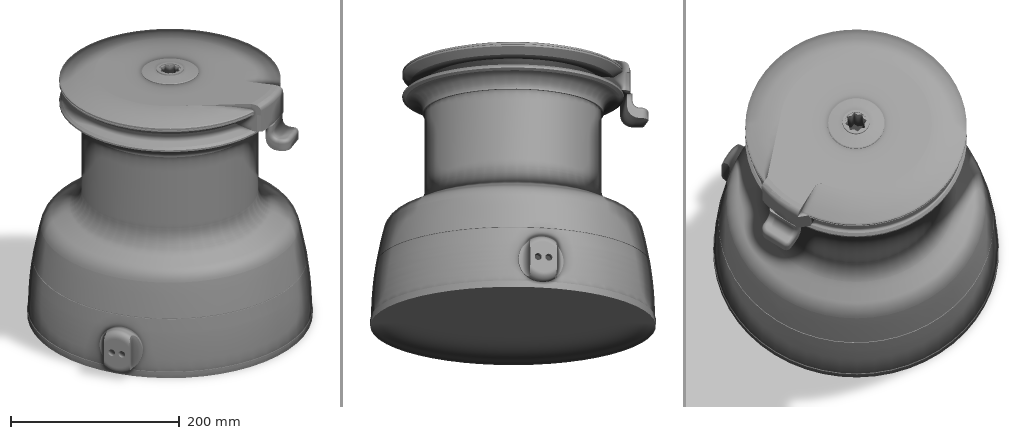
import cadquery as cq
import math

BASE_R = 339 / 2
RIM_H = 8
SKIRT_BOTTOM_R = 168.5
SKIRT_ARC_R = 420
SEAM_Z = 75.4
SEAM_W = 1.0
SEAM_DEPTH = 1.0
SKIRT_TOP_Z = 118.8
SHOULDER_MID = (148.7, 127.8)
SHOULDER_R, SHOULDER_Z = 139.5, 134.3
THROAT_R, THROAT_Z = 118.5, 144.6
THROAT_MID = (109.5, 152.3)
THROAT_TOP_Z = 166.6

DRUM_R = 210 / 2
LIP_R = 215 / 2
LIP_Z = 262.0
LIP_H = 2.0
FLANGE_R = 263 / 2
FLARE_MID = (112.6, 275.0)
FLARE_R, FLARE_Z = 127.0, 279.3
FLANGE_EDGE_Z = (281.3, 283.5)
FLANGE_SLOPE_R, FLANGE_SLOPE_Z = 128.5, 286.0
NECK_R = 104.0
NECK_Z = 293.0

DISC_BOTTOM_R = 243 / 2
DISC_BOTTOM_Z = 300.2
DISC_EDGE_Z = (307.8, 312.2)
DOME_EDGE_R, DOME_EDGE_Z = 130.0, 313.0
DISC_SEAM_Z = 309.8
DOME_MID = (115.0, 317.6)
PLATEAU_R = 90.0
PLATEAU_Z = 321.3

CAP_R = 34.0
CAP_EDGE_Z = 322.2
CAP_BEVEL_R, CAP_BEVEL_Z = 33.0, 322.7
CAP_RING_R = 32.2 / 2
CAP_RING_Z = 324.4
TOTAL_H = 326
CAP_TOP_R = 31.72 / 2
SOCKET_D = 26
SOCKET_SQUARE = 18.5
SOCKET_DEPTH = 30
SOCKET_MOUTH_DEPTH = 1.0

ARM_R = 139.2
ARM_FRONT_Y = -45.5
ARM_TIP_Y = 12.0
ARM_ROOT_Y = 7.5
ARM_BOTTOM_Z = 285.5
ARM_FRONT_X = 119.0
GAP_CORNER_X = 127.0
GAP_CHAMFER_X, GAP_CHAMFER_Y = 131.5, -43.0
ARM_ROOT_FILLET = 9.0
ARM_BROW_R = 127.0
ARM_BROW_TOP = (133.0, 320.6)
ARM_BROW_Z = 314.0
NOSE_R, NOSE_Y = 128.0, 23.0

FOOT_Y = (-30.0, 12.0)
FOOT_ROOT_Z = 286.5
FOOT_INNER_X = 132.0
FOOT_OUTER_X = 139.5
FOOT_INSIDE_R = 8.0
FOOT_TIP_X = 159.8
FOOT_TOP_Z = 270.5
FOOT_BOTTOM_Z = 256.6
FOOT_FRONT_CORNER_R = 11.0
FOOT_BACK_CORNER_R = 6.0
FOOT_EDGE_R = 4.5

TOTAL_DEPTH = 352.78
BUTTON_R = 54.2 / 2
BUTTON_Z = 34.0
BUTTON_FRONT_Y = BASE_R - TOTAL_DEPTH
BUTTON_ROUND = 8.0
BUTTON_BACK_Y = -155.0
GRIP_LIP_X = 32.2 / 2
GRIP_LIP_T = 2.8
GRIP_X = 15.3
GRIP_FLARE_R = 7.3
GRIP_LEDGE_Y = -168.3
PIN_D = 8.4
PIN_X = 6.45
PIN_DEPTH = 8.0


def skirt_radius(z):
    """Skirt radius at height z: one large arc, vertical where it meets the rim."""
    return SKIRT_BOTTOM_R - SKIRT_ARC_R + math.sqrt(SKIRT_ARC_R**2 - (z - RIM_H) ** 2)


def ring_groove(radius, z):
    """Thin ring that cuts a seam groove into a round side."""
    ring = cq.Workplane("XY").workplane(offset=z - SEAM_W / 2).circle(radius + SEAM_DEPTH)
    return ring.circle(radius - SEAM_DEPTH).extrude(SEAM_W)


def turned_body():
    skirt_mid_z = (RIM_H + SKIRT_TOP_Z) / 2
    profile = (
        cq.Workplane("XZ")
        .lineTo(BASE_R, 0)
        .lineTo(BASE_R, RIM_H)
        .lineTo(SKIRT_BOTTOM_R, RIM_H)
        .threePointArc((skirt_radius(skirt_mid_z), skirt_mid_z), (skirt_radius(SKIRT_TOP_Z), SKIRT_TOP_Z))
        .threePointArc(SHOULDER_MID, (SHOULDER_R, SHOULDER_Z))
        .lineTo(THROAT_R, THROAT_Z)
        .threePointArc(THROAT_MID, (DRUM_R, THROAT_TOP_Z))
        .lineTo(DRUM_R, LIP_Z)
        .lineTo(LIP_R, LIP_Z)
        .lineTo(LIP_R, LIP_Z + LIP_H)
        .threePointArc(FLARE_MID, (FLARE_R, FLARE_Z))
        .lineTo(FLANGE_R, FLANGE_EDGE_Z[0])
        .lineTo(FLANGE_R, FLANGE_EDGE_Z[1])
        .lineTo(FLANGE_SLOPE_R, FLANGE_SLOPE_Z)
        .lineTo(NECK_R, NECK_Z)
        .lineTo(NECK_R, DISC_BOTTOM_Z)
        .lineTo(DISC_BOTTOM_R, DISC_BOTTOM_Z)
        .lineTo(FLANGE_R, DISC_EDGE_Z[0])
        .lineTo(FLANGE_R, DISC_EDGE_Z[1])
        .lineTo(DOME_EDGE_R, DOME_EDGE_Z)
        .threePointArc(DOME_MID, (PLATEAU_R, PLATEAU_Z))
        .lineTo(CAP_R, PLATEAU_Z)
        .lineTo(CAP_R, CAP_EDGE_Z)
        .lineTo(CAP_BEVEL_R, CAP_BEVEL_Z)
        .lineTo(CAP_RING_R, CAP_RING_Z)
        .lineTo(CAP_TOP_R, TOTAL_H)
        .lineTo(0, TOTAL_H)
        .close()
    )
    body = profile.revolve(360, (0, 0), (0, 1))
    body = body.cut(ring_groove(skirt_radius(SEAM_Z), SEAM_Z))
    return body.cut(ring_groove(FLANGE_R, DISC_SEAM_Z))


def handle_socket():
    """Eight-pointed star, two squares turned 45 degrees, below a shallow round mouth."""
    floor = cq.Workplane("XY").workplane(offset=TOTAL_H - SOCKET_DEPTH)
    square = floor.rect(SOCKET_SQUARE, SOCKET_SQUARE).extrude(SOCKET_DEPTH)
    star = square.union(square.rotate((0, 0, 0), (0, 0, 1), 45))
    mouth = cq.Workplane("XY").workplane(offset=TOTAL_H).circle(SOCKET_D / 2).extrude(-SOCKET_MOUTH_DEPTH)
    return star.intersect(floor.circle(SOCKET_D / 2).extrude(SOCKET_DEPTH)).union(mouth)


def arm_limit():
    """Round envelope of the arm: flat top, rolled brow and upright outer wall."""
    return (
        cq.Workplane("XZ")
        .moveTo(0, PLATEAU_Z)
        .lineTo(ARM_BROW_R, PLATEAU_Z)
        .lineTo(*ARM_BROW_TOP)
        .tangentArcPoint((ARM_R, ARM_BROW_Z), relative=False)
        .lineTo(ARM_R, ARM_BOTTOM_Z)
        .lineTo(0, ARM_BOTTOM_Z)
        .close()
        .revolve(360, (0, 0), (0, 1))
        .rotate((0, 0, 0), (0, 0, 1), 180)
    )


def feeder_arm():
    """Arm that leaves the plateau tangentially and closes the rope gap at +X."""
    base = cq.Workplane("XY").workplane(offset=DISC_EDGE_Z[0])
    height = PLATEAU_Z - DISC_EDGE_Z[0]
    corner_r = math.hypot(ARM_FRONT_X, ARM_FRONT_Y)
    tangent = math.atan2(ARM_FRONT_Y, ARM_FRONT_X) - math.acos(PLATEAU_R / corner_r)
    root_x = math.sqrt(PLATEAU_R**2 - ARM_ROOT_Y**2)
    outline = [
        (0, 0),
        (PLATEAU_R * math.cos(tangent), PLATEAU_R * math.sin(tangent)),
        (ARM_FRONT_X, ARM_FRONT_Y),
        (ARM_R, ARM_FRONT_Y),
        (ARM_R, ARM_TIP_Y),
        (root_x, ARM_ROOT_Y),
        (0, ARM_ROOT_Y),
    ]
    plan = base.polyline(outline).close().extrude(height)
    plan = plan.union(base.circle(PLATEAU_R).extrude(height))
    root = cq.selectors.NearestToPointSelector((root_x, ARM_ROOT_Y, DISC_EDGE_Z[0] + height / 2))
    plan = plan.edges(root).fillet(ARM_ROOT_FILLET)

    gap_fill = [
        (0, ARM_FRONT_Y),
        (GAP_CORNER_X, ARM_FRONT_Y),
        (GAP_CHAMFER_X, GAP_CHAMFER_Y),
        (ARM_R, GAP_CHAMFER_Y),
        (ARM_R, ARM_TIP_Y),
        (NOSE_R, NOSE_Y),
        (0, NOSE_Y),
    ]
    gap_floor = cq.Workplane("XY").workplane(offset=ARM_BOTTOM_Z)
    filler = gap_floor.polyline(gap_fill).close().extrude(DISC_EDGE_Z[1] - ARM_BOTTOM_Z)
    return plan.union(filler).intersect(arm_limit())


def arm_foot():
    """Strap that drops from the arm and hooks outward."""
    width = FOOT_Y[1] - FOOT_Y[0]
    outside_r = FOOT_TOP_Z - FOOT_BOTTOM_Z
    arc_inset = 1 - math.sqrt(0.5)
    foot = (
        cq.Workplane("XZ", origin=(0, FOOT_Y[1], 0))
        .moveTo(FOOT_INNER_X, FOOT_ROOT_Z)
        .lineTo(FOOT_INNER_X, FOOT_BOTTOM_Z + outside_r)
        .threePointArc(
            (FOOT_INNER_X + arc_inset * outside_r, FOOT_BOTTOM_Z + arc_inset * outside_r),
            (FOOT_INNER_X + outside_r, FOOT_BOTTOM_Z),
        )
        .lineTo(FOOT_TIP_X, FOOT_BOTTOM_Z)
        .lineTo(FOOT_TIP_X, FOOT_TOP_Z)
        .lineTo(FOOT_OUTER_X + FOOT_INSIDE_R, FOOT_TOP_Z)
        .threePointArc(
            (FOOT_OUTER_X + arc_inset * FOOT_INSIDE_R, FOOT_TOP_Z + arc_inset * FOOT_INSIDE_R),
            (FOOT_OUTER_X, FOOT_TOP_Z + FOOT_INSIDE_R),
        )
        .lineTo(FOOT_OUTER_X, FOOT_ROOT_Z)
        .close()
        .extrude(width)
    )
    foot = foot.edges("|Z and >X and <Y").fillet(FOOT_FRONT_CORNER_R)
    foot = foot.edges("|Z").edges(">X").fillet(FOOT_BACK_CORNER_R)
    lip_edge = cq.selectors.NearestToPointSelector((FOOT_TIP_X, (FOOT_Y[0] + FOOT_Y[1]) / 2, FOOT_TOP_Z))
    return foot.edges(lip_edge).fillet(FOOT_EDGE_R)


def button():
    """Round push button with finger grips scooped out of both sides."""
    knob = (
        cq.Workplane("XZ", origin=(0, BUTTON_BACK_Y, BUTTON_Z))
        .circle(BUTTON_R)
        .extrude(BUTTON_BACK_Y - BUTTON_FRONT_Y)
        .faces("<Y")
        .edges()
        .fillet(BUTTON_ROUND)
    )
    flare_y = GRIP_LEDGE_Y - GRIP_FLARE_R
    diagonal = GRIP_FLARE_R * math.sqrt(0.5)
    flare_x = GRIP_X + GRIP_FLARE_R
    grip = (
        cq.Workplane("XY", origin=(0, 0, BUTTON_Z - BUTTON_R))
        .moveTo(GRIP_LIP_X, BUTTON_FRONT_Y)
        .lineTo(GRIP_LIP_X, BUTTON_FRONT_Y + GRIP_LIP_T)
        .lineTo(GRIP_X, BUTTON_FRONT_Y + GRIP_LIP_T)
        .lineTo(GRIP_X, flare_y)
        .threePointArc((flare_x - diagonal, flare_y + diagonal), (flare_x, GRIP_LEDGE_Y))
        .lineTo(BUTTON_R, GRIP_LEDGE_Y)
        .lineTo(BUTTON_R, BUTTON_FRONT_Y)
        .close()
        .extrude(2 * BUTTON_R)
    )
    pins = (
        cq.Workplane("XZ", origin=(0, BUTTON_FRONT_Y + PIN_DEPTH, BUTTON_Z))
        .pushPoints([(-PIN_X, 0), (PIN_X, 0)])
        .circle(PIN_D / 2)
        .extrude(PIN_DEPTH)
    )
    return knob.cut(grip).cut(grip.mirror("YZ")).cut(pins)


result = turned_body().union(feeder_arm()).union(arm_foot()).union(button())
result = result.cut(handle_socket())